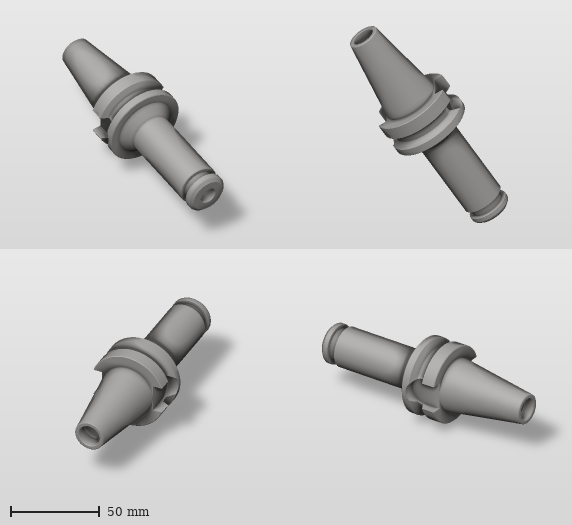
import cadquery as cq

length = 134.0
taper_end = 48.4
flange_start = 49.3
groove_top_start = 57.4
groove_floor_start = 59.8
groove_floor_end = 63.3
groove_top_end = 65.8
flange_end = 70.5
shoulder_end = 76.4
ring_groove_start = 124.4
ring_groove_end = 129.0

taper_large_dia = 31.8
taper_ratio = 7 / 24
flange_dia = 46.0
flange_groove_dia = 38.0
shoulder_dia = 34.7
shank_dia = 24.0
ring_groove_dia = 19.5
nose_dia = 19.5
bore_dia = 10.2
counterbore_dia = 12.6
counterbore_depth = 6.7
mouth_dia = 13.5

taper_edge = 0.4
flange_edge = 0.4
shank_edge = 0.3
nose_length = 1.6
nose_blend_length = 0.8
nose_blend_depth = 0.4

slot_width = 16.4
slot_tip = 67.7
slot_floor_y = 16.0


def turned_body():
    """Revolve the outer half profile about the X axis."""
    taper_small_radius = (taper_large_dia - taper_end * taper_ratio) / 2
    taper_radius = taper_large_dia / 2
    flange_radius = flange_dia / 2
    flange_groove_radius = flange_groove_dia / 2
    shank_radius = shank_dia / 2
    ring_groove_radius = ring_groove_dia / 2
    nose_start = length - nose_length
    profile = [
        (0, 0),
        (0, taper_small_radius - taper_edge),
        (taper_edge, taper_small_radius + taper_edge * taper_ratio / 2),
        (taper_end, taper_radius),
        (flange_start, taper_radius),
        (flange_start, flange_radius - flange_edge),
        (flange_start + flange_edge, flange_radius),
        (groove_top_start, flange_radius),
        (groove_floor_start, flange_groove_radius),
        (groove_floor_end, flange_groove_radius),
        (groove_top_end, flange_radius),
        (flange_end - flange_edge, flange_radius),
        (flange_end, flange_radius - flange_edge),
        (flange_end, shoulder_dia / 2),
        (shoulder_end, shank_radius),
        (ring_groove_start - shank_edge, shank_radius),
        (ring_groove_start, shank_radius - shank_edge),
        (ring_groove_start, ring_groove_radius),
        (ring_groove_end, ring_groove_radius),
        (ring_groove_end, shank_radius - shank_edge),
        (ring_groove_end + shank_edge, shank_radius),
        (nose_start - nose_blend_length, shank_radius),
        (nose_start, shank_radius - nose_blend_depth),
        (length, nose_dia / 2),
        (length, 0),
    ]
    return cq.Workplane("XY").polyline(profile).close().revolve(360, (0, 0, 0), (1, 0, 0))


def stepped_bore():
    """Through bore with a counterbore and a chamfered mouth at the taper end."""
    bore_radius = bore_dia / 2
    counterbore_radius = counterbore_dia / 2
    mouth_radius = mouth_dia / 2
    profile = [
        (0, 0),
        (0, mouth_radius),
        (mouth_radius - counterbore_radius, counterbore_radius),
        (counterbore_depth, counterbore_radius),
        (counterbore_depth, bore_radius),
        (length, bore_radius),
        (length, 0),
    ]
    return cq.Workplane("XY").polyline(profile).close().revolve(360, (0, 0, 0), (1, 0, 0))


def drive_slot(side):
    """Flat-bottomed round-ended slot in the flange; side is +1 or -1 along Y."""
    half_width = slot_width / 2
    arc_start = slot_tip - half_width
    return (
        cq.Workplane("XZ", origin=(0, side * slot_floor_y, 0))
        .moveTo(flange_start, -half_width)
        .lineTo(arc_start, -half_width)
        .threePointArc((slot_tip, 0), (arc_start, half_width))
        .lineTo(flange_start, half_width)
        .close()
        .extrude(-side * flange_dia / 2)
    )


result = turned_body().cut(stepped_bore())
for slot_side in (-1, 1):
    result = result.cut(drive_slot(slot_side))